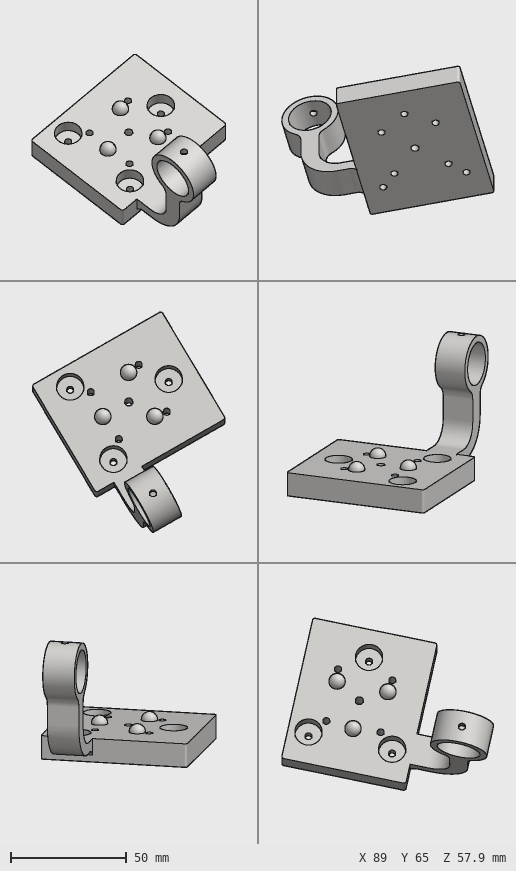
import cadquery as cq
import math

total_length = 89.0
total_height = 57.9
plate_length = 55.0
plate_width = 65.0
plate_thickness = 10.5
plate_corner_radius = 1.1

small_hole_diameter = 3.0
center_hole_diameter = 3.5
square_hole_spacing = 24.0
counterbore_diameter = 11.8
counterbore_depth = 6.05
rear_counterbore_y = 20.0
front_counterbore_offset = 18.5
ball_radius = 3.6
ball_circle_radius = 13.0
ball_count = 3

arm_width = 14.1
arm_center_y = -16.5
arm_foot_thickness = 5.0
arm_post_thickness = 8.0
inner_bend_radius = 9.5
outer_bend_radius = 16.0
root_fillet_radius = 5.0
root_fillet_drop = 2.3
ring_outer_diameter = 25.0
ring_bore_diameter = 19.0
neck_fillet_radius = 5.0

plate_end_x = plate_length / 2
ring_radius = ring_outer_diameter / 2
ring_x = total_length - plate_end_x - ring_radius
ring_z = total_height - ring_radius
post_half = arm_post_thickness / 2


def make_plate():
    plate = cq.Workplane("XY").box(
        plate_length, plate_width, plate_thickness, centered=(True, True, False)
    )
    return plate.edges("|Z").fillet(plate_corner_radius)


def arc_point(center, radius, degrees):
    angle = math.radians(degrees)
    return (center[0] + radius * math.cos(angle), center[1] + radius * math.sin(angle))


def extrude_across_arm(profile):
    """Extrude an XZ profile symmetrically about the arm's middle plane."""
    return profile.extrude(arm_width / 2, both=True).translate((0, arm_center_y, 0))


def make_arm():
    top_z = plate_thickness
    bottom_z = top_z - arm_foot_thickness
    inner_x = ring_x - post_half
    outer_x = ring_x + post_half
    inner_bend = (inner_x - inner_bend_radius, top_z + inner_bend_radius)
    outer_bend = (outer_x - outer_bend_radius, bottom_z + outer_bend_radius)

    neck_dx = post_half + neck_fillet_radius
    neck_dz = math.sqrt((ring_radius + neck_fillet_radius) ** 2 - neck_dx**2)
    neck_z = ring_z - neck_dz
    neck_angle = math.degrees(math.atan2(neck_dz, neck_dx))
    left_neck = (ring_x - neck_dx, neck_z)
    right_neck = (ring_x + neck_dx, neck_z)

    root_sweep = math.degrees(math.acos(1 - root_fillet_drop / root_fillet_radius))
    root_run = root_fillet_radius * math.sin(math.radians(root_sweep))
    root_center = (plate_end_x + root_run, bottom_z - root_fillet_radius)

    profile = (
        cq.Workplane("XZ")
        .moveTo(0, top_z)
        .lineTo(inner_bend[0], top_z)
        .threePointArc(arc_point(inner_bend, inner_bend_radius, -45), (inner_x, inner_bend[1]))
        .lineTo(inner_x, neck_z)
        .threePointArc(
            arc_point(left_neck, neck_fillet_radius, neck_angle / 2),
            arc_point(left_neck, neck_fillet_radius, neck_angle),
        )
        .lineTo(ring_x, ring_z)
        .lineTo(*arc_point(right_neck, neck_fillet_radius, 180 - neck_angle))
        .threePointArc(
            arc_point(right_neck, neck_fillet_radius, 180 - neck_angle / 2),
            (outer_x, neck_z),
        )
        .lineTo(outer_x, outer_bend[1])
        .threePointArc(arc_point(outer_bend, outer_bend_radius, -45), (outer_bend[0], bottom_z))
        .lineTo(root_center[0], bottom_z)
        .threePointArc(
            arc_point(root_center, root_fillet_radius, 90 + root_sweep / 2),
            arc_point(root_center, root_fillet_radius, 90 + root_sweep),
        )
        .lineTo(0, bottom_z - root_fillet_drop)
        .close()
    )
    return extrude_across_arm(profile)


def make_ring_cylinder(diameter):
    return extrude_across_arm(cq.Workplane("XZ").center(ring_x, ring_z).circle(diameter / 2))


def make_set_screw_hole():
    """Radial hole from the top of the ring into its bore."""
    return (
        cq.Workplane("XY", origin=(ring_x, arm_center_y, ring_z))
        .circle(small_hole_diameter / 2)
        .extrude(ring_outer_diameter)
    )


def cut_plate_holes(body):
    counterbore_points = [
        (0, rear_counterbore_y),
        (-front_counterbore_offset, -front_counterbore_offset),
        (front_counterbore_offset, -front_counterbore_offset),
    ]
    top_plane = cq.Workplane("XY", origin=(0, 0, plate_thickness))
    through_holes = (
        top_plane.rarray(square_hole_spacing, square_hole_spacing, 2, 2)
        .circle(small_hole_diameter / 2)
        .extrude(-plate_thickness)
    )
    screw_holes = (
        top_plane.pushPoints(counterbore_points)
        .circle(small_hole_diameter / 2)
        .extrude(-plate_thickness)
    )
    counterbores = (
        top_plane.pushPoints(counterbore_points)
        .circle(counterbore_diameter / 2)
        .extrude(-counterbore_depth)
    )
    center_hole = top_plane.circle(center_hole_diameter / 2).extrude(-plate_thickness)
    return body.cut(through_holes).cut(screw_holes).cut(counterbores).cut(center_hole)


def make_balls():
    """Spheres half sunk into the plate, one of them toward -Y."""
    return (
        cq.Workplane("XY", origin=(0, 0, plate_thickness))
        .polarArray(ball_circle_radius, -90, 360, ball_count)
        .sphere(ball_radius)
    )


result = make_plate().union(make_arm()).union(make_ring_cylinder(ring_outer_diameter))
result = result.cut(make_ring_cylinder(ring_bore_diameter)).cut(make_set_screw_hole())
result = cut_plate_holes(result).union(make_balls())